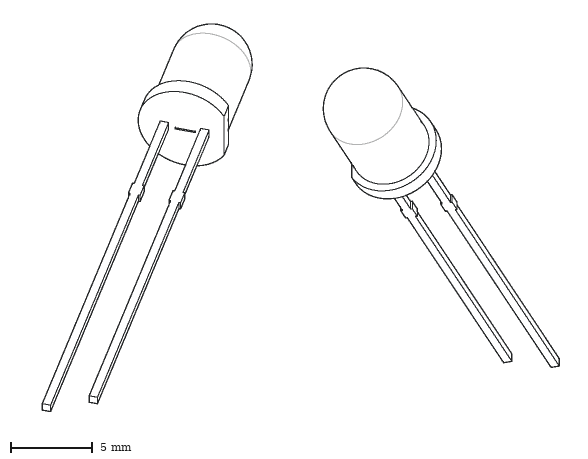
import cadquery as cq
import math

body_radius = 2.5
flange_radius = 2.95
flange_height = 1.05
body_height = 8.6
shoulder_y = body_height - body_radius

total_length = 35.6
lead_pitch = 2.55
lead_size = 0.55
lead_length_difference = 1.45
long_lead_length = total_length - body_height
short_lead_length = long_lead_length - lead_length_difference
collar_width = 0.75
collar_length = 0.95
collar_start = 5.95

slit_length = 1.28
slit_width = 0.1
slit_depth = 0.1
slit_center_x = 0.05
slit_center_z = -0.1


def make_flange():
    """Disc with one flat, flush with the body on the +X side."""
    flat_half_width = math.sqrt(flange_radius**2 - body_radius**2)
    return (
        cq.Workplane("XZ")
        .moveTo(body_radius, -flat_half_width)
        .lineTo(body_radius, flat_half_width)
        .threePointArc((-flange_radius, 0), (body_radius, -flat_half_width))
        .close()
        .extrude(-flange_height)
    )


def make_domed_body():
    """Cylinder ending in a hemisphere, revolved about the Y axis."""
    dome_mid = body_radius * math.sin(math.pi / 4)
    return (
        cq.Workplane("XY")
        .lineTo(body_radius, 0)
        .lineTo(body_radius, shoulder_y)
        .threePointArc((dome_mid, shoulder_y + dome_mid), (0, body_height))
        .close()
        .revolve(360, (0, 0, 0), (0, 1, 0))
    )


def make_lead(center_x, length):
    """Square wire with a collar, running from the flange toward -Y."""
    plane = cq.Workplane("XZ").center(center_x, 0)
    wire = plane.rect(lead_size, lead_size).extrude(length)
    collar = (
        plane.workplane(offset=collar_start)
        .rect(collar_width, lead_size)
        .extrude(collar_length)
    )
    return wire.union(collar)


def make_slit():
    """Shallow rectangular cutter rising from the flange underside."""
    return (
        cq.Workplane("XZ")
        .center(slit_center_x, slit_center_z)
        .rect(slit_length, slit_width)
        .extrude(-slit_depth)
    )


result = (
    make_flange()
    .union(make_domed_body())
    .cut(make_slit())
    .union(make_lead(-lead_pitch / 2, long_lead_length))
    .union(make_lead(lead_pitch / 2, short_lead_length))
)